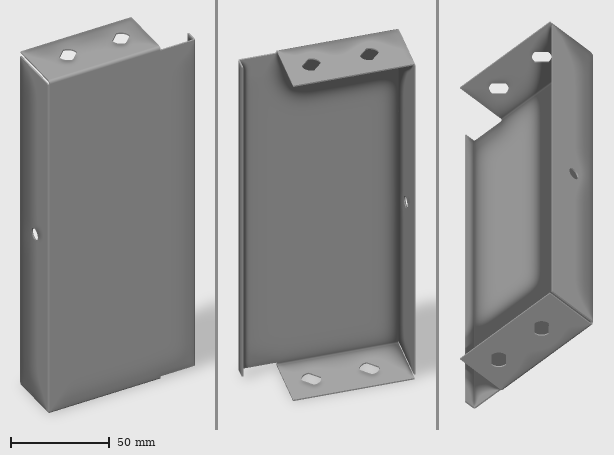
import cadquery as cq

width = 30.8
depth = 85.0
height = 204.0
sheet = 0.8

flange_bend_inner = 0.2
flange_bend_outer = flange_bend_inner + sheet
tab_bend_inner = 0.8
tab_bend_outer = tab_bend_inner + sheet

flange_end_gap = 2.0
wall_height = height - 2 * flange_end_gap
front_flange = width - 1.2
back_flange = 7.0
tab_front = 0.8
tab_back = 64.9
tab_depth = tab_back - tab_front

hole_diameter = 6.5
hole_x = 16.5

opening_diameter = 10.0
opening_flats = 7.1
opening_x = 14.0
opening_ys = (20.6, 51.2)
opening_angle = 45


def make_walls():
    """Web with a long front flange and a short back flange, lying between the end folds."""
    outer = (
        cq.Workplane("XY", origin=(0, 0, flange_end_gap))
        .rect(width, depth, centered=False)
        .extrude(wall_height)
        .edges("|Z and >X")
        .fillet(flange_bend_outer)
    )
    inner = (
        cq.Workplane("XY", origin=(0, sheet, flange_end_gap))
        .rect(width - sheet, depth - 2 * sheet, centered=False)
        .extrude(wall_height)
        .edges("|Z and >X")
        .fillet(flange_bend_inner)
    )
    front_trim = cq.Workplane("XY").rect(width - front_flange, depth, centered=False).extrude(height)
    back_trim = (
        cq.Workplane("XY", origin=(0, depth - sheet, 0))
        .rect(width - back_flange, sheet, centered=False)
        .extrude(height)
    )
    return outer.cut(inner).cut(front_trim).cut(back_trim)


def make_opening(y, angle):
    """Cutter for one double-flat opening, with its flats turned by the given angle."""
    disc = cq.Workplane("XY").circle(opening_diameter / 2).extrude(sheet)
    band = cq.Workplane("XY").rect(opening_diameter, opening_flats).extrude(sheet)
    return disc.intersect(band).rotate((0, 0, 0), (0, 0, 1), angle).translate((opening_x, y, 0))


def make_tab(angle):
    """Bottom tab with its rounded fold and two openings turned by the given angle."""
    outer = (
        cq.Workplane("XY", origin=(0, tab_front, 0))
        .rect(width, tab_depth, centered=False)
        .extrude(flange_end_gap)
        .edges("|Y and >X and <Z")
        .fillet(tab_bend_outer)
    )
    inner = (
        cq.Workplane("XY", origin=(0, tab_front, sheet))
        .rect(width - sheet, tab_depth, centered=False)
        .extrude(flange_end_gap)
        .edges("|Y and >X and <Z")
        .fillet(tab_bend_inner)
    )
    tab = outer.cut(inner)
    for y in opening_ys:
        tab = tab.cut(make_opening(y, angle))
    return tab


bottom_tab = make_tab(opening_angle)
top_tab = make_tab(-opening_angle).mirror("XY").translate((0, 0, height))

flange_hole = (
    cq.Workplane("XZ", origin=(hole_x, 0, height / 2))
    .circle(hole_diameter / 2)
    .extrude(-sheet)
)

result = make_walls().union(bottom_tab).union(top_tab).cut(flange_hole)